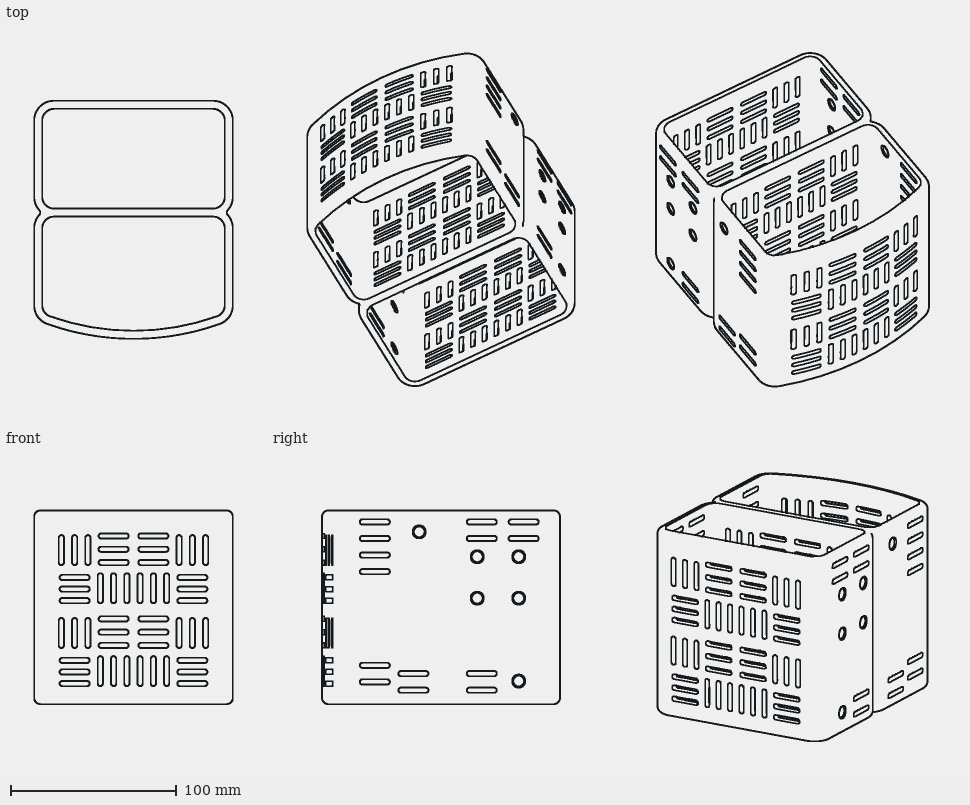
import math

import cadquery as cq

WIDTH = 120.0
DEPTH = 143.7
HEIGHT = 117.0
WALL = 5.0
CORNER_RADIUS = 12.0
RIM_FILLET = 4.0

REAR_DEPTH = 70.0
FRONT_BOW_RADIUS = 155.0
VALLEY_RADIUS = 2.0

SLOT_LENGTH = 18.0
SLOT_WIDTH = 3.0

BAND_BASES = (11.0, 61.0)
UPPER_ROW_RISE = 23.0
PANEL_PITCH = 8.0
NARROW_PITCH = 7.0
INNER_BLOCK_X = 12.0
OUTER_BLOCK_X = 35.5

SIDE_SLOT_GROUPS = (
    (22.0, (7.0, 17.0)),
    (47.25, (7.0, 17.0, 98.5, 108.5)),
    (88.5, (98.5, 108.5)),
    (111.75, (7.0, 17.0, 27.0, 37.0, 93.5, 103.5)),
)
SIDE_HOLES = ((25.0, 28.0), (50.0, 28.0), (25.0, 53.0), (50.0, 53.0), (25.0, 103.0), (85.0, 13.0))
HOLE_DIAMETER = 6.5
HOLE_CHAMFER = 0.75

HALF_WIDTH = WIDTH / 2
FRONT_CELL_BACK = WALL - REAR_DEPTH
BOW_CENTER_Y = FRONT_BOW_RADIUS - DEPTH


def rear_outline(inset):
    """Rounded rectangle of the rear compartment, moved inwards by inset."""
    return (
        cq.Workplane("XY")
        .center(0, -REAR_DEPTH / 2)
        .rect(WIDTH - 2 * inset, REAR_DEPTH - 2 * inset)
        .extrude(HEIGHT)
        .edges("|Z")
        .fillet(CORNER_RADIUS - inset)
    )


def front_outline(inset):
    """Front compartment with a bowed front face, moved inwards by inset."""
    half = HALF_WIDTH - inset
    bow = FRONT_BOW_RADIUS - inset
    back = FRONT_CELL_BACK - inset
    corner_y = BOW_CENTER_Y - math.sqrt(bow**2 - half**2)
    return (
        cq.Workplane("XY")
        .moveTo(-half, back)
        .lineTo(-half, corner_y)
        .threePointArc((0, BOW_CENTER_Y - bow), (half, corner_y))
        .lineTo(half, back)
        .close()
        .extrude(HEIGHT)
        .edges("|Z")
        .fillet(CORNER_RADIUS - inset)
    )


def make_shell():
    """Tube with two compartments, its outer rims rounded at top and bottom."""
    body = rear_outline(0).union(front_outline(0))
    corner_offset = CORNER_RADIUS - WALL / 2
    valley_x = HALF_WIDTH - CORNER_RADIUS + math.sqrt(CORNER_RADIUS**2 - corner_offset**2)
    valley_y = WALL / 2 - REAR_DEPTH
    for side in (-1, 1):
        valley = cq.selectors.NearestToPointSelector((side * valley_x, valley_y, HEIGHT / 2))
        body = body.edges("|Z").edges(valley).fillet(VALLEY_RADIUS)
    body = body.faces("<Z or >Z").edges().fillet(RIM_FILLET)
    return body.cut(rear_outline(WALL)).cut(front_outline(WALL))


def block(center_x, bottom, upright, pitch):
    """Centres of three slots of one pattern block, as (x, z, upright)."""
    steps = (-1, 0, 1)
    if upright:
        return [(center_x + step * pitch, bottom + SLOT_LENGTH / 2, True) for step in steps]
    return [(center_x, bottom + SLOT_WIDTH / 2 + (step + 1) * pitch, False) for step in steps]


def panel_cutters(centers, angle):
    """Slot-shaped solids spanning the full depth, turned by angle."""
    plane = cq.Workplane("XZ")
    return plane.pushPoints(centers).slot2D(SLOT_LENGTH, SLOT_WIDTH, angle).extrude(DEPTH).vals()


def panel_slots():
    """Basket-weave slots running through every wall that faces the front."""
    slots = []
    for base in BAND_BASES:
        upper = base + UPPER_ROW_RISE
        for side in (-1, 1):
            slots += block(side * INNER_BLOCK_X, base, True, PANEL_PITCH)
            slots += block(side * INNER_BLOCK_X, upper, False, PANEL_PITCH)
            slots += block(side * OUTER_BLOCK_X, base, False, NARROW_PITCH)
            slots += block(side * OUTER_BLOCK_X, upper, True, PANEL_PITCH)
    level_centers = [(x, z) for x, z, upright in slots if not upright]
    upright_centers = [(x, z) for x, z, upright in slots if upright]
    return panel_cutters(level_centers, 0) + panel_cutters(upright_centers, 90)


def side_slots():
    """Level slots running through both side walls."""
    centers = [(-back, HEIGHT - drop) for back, drops in SIDE_SLOT_GROUPS for drop in drops]
    return (
        cq.Workplane("YZ")
        .pushPoints(centers)
        .slot2D(SLOT_LENGTH, SLOT_WIDTH)
        .extrude(HALF_WIDTH, both=True)
        .vals()
    )


def side_hole(back, drop):
    """Round hole through both side walls, chamfered on both faces of each wall."""
    radius = HOLE_DIAMETER / 2
    mouth = radius + HOLE_CHAMFER
    inner_face = HALF_WIDTH - WALL
    cutter = cq.Workplane("YZ").circle(radius).extrude(HALF_WIDTH, both=True)
    for side in (-1, 1):
        for face, into_wall in ((HALF_WIDTH, -side), (inner_face, side)):
            base = cq.Vector(side * face, 0, 0)
            cone = cq.Solid.makeCone(mouth, radius, HOLE_CHAMFER, base, cq.Vector(into_wall, 0, 0))
            cutter = cutter.union(cq.Workplane(cone))
    return cutter.translate((0, -back, HEIGHT - drop))


result = make_shell()
for cutter in panel_slots() + side_slots():
    result = result.cut(cq.Workplane(cutter))
for back, drop in SIDE_HOLES:
    result = result.cut(side_hole(back, drop))